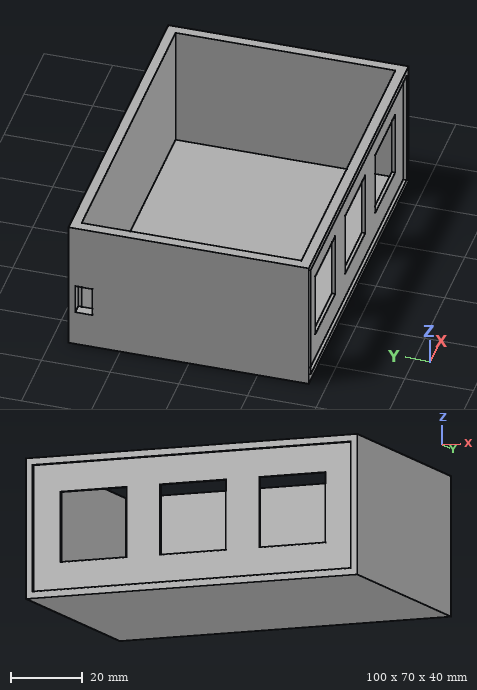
import cadquery as cq

length = 100.0
depth = 70.0
height = 40.0
wall = 3.0

rim = 2.0
recess_depth = 1.0
panel_thickness = 1.0

window_size = 20.0
window_count = 3
window_pitch = 30.0

slot_width = 5.0
slot_height = 9.0
slot_back_offset = 2.0
slot_bottom_offset = 11.0


def make_shell():
    outer = cq.Workplane("XY").box(length, depth, height)
    cavity = cq.Workplane("XY").box(length - 2 * wall, depth - 2 * wall, height)
    return outer.cut(cavity.translate((0, 0, wall)))


def make_front_recess():
    recess = cq.Workplane("XY").box(length - 2 * rim, recess_depth, height - 2 * rim)
    return recess.translate((0, (recess_depth - depth) / 2, 0))


def make_panel_relief():
    """Thins the front wall from inside, between the floor and the top rim."""
    relief_depth = wall - recess_depth - panel_thickness
    relief_bottom = -height / 2 + wall
    relief_top = height / 2 - rim
    relief = cq.Workplane("XY").box(length - 2 * wall, relief_depth, relief_top - relief_bottom)
    y = -depth / 2 + wall - relief_depth / 2
    return relief.translate((0, y, (relief_bottom + relief_top) / 2))


def make_windows():
    windows = cq.Workplane("XY")
    for index in range(window_count):
        x = (index - (window_count - 1) / 2) * window_pitch
        window = cq.Workplane("XY").box(window_size, wall, window_size)
        windows = windows.add(window.translate((x, (wall - depth) / 2, 0)))
    return windows.combine()


def make_slot():
    slot = cq.Workplane("XY").box(wall, slot_width, slot_height)
    y = depth / 2 - slot_back_offset - slot_width / 2
    z = -height / 2 + slot_bottom_offset + slot_height / 2
    return slot.translate(((wall - length) / 2, y, z))


result = (
    make_shell()
    .cut(make_front_recess())
    .cut(make_panel_relief())
    .cut(make_windows())
    .cut(make_slot())
)